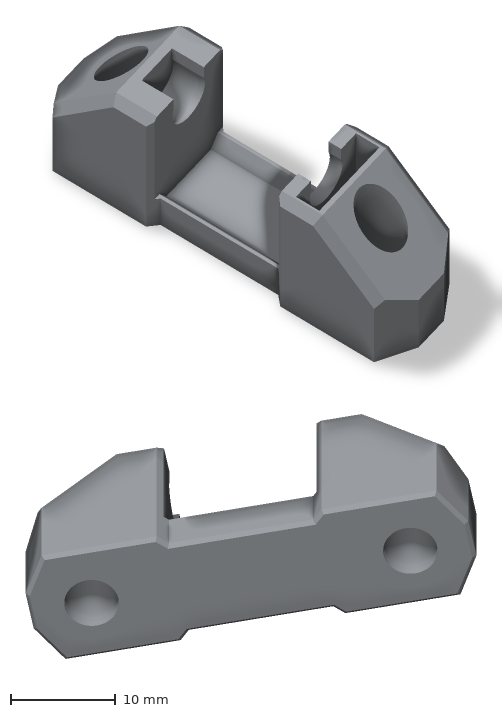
import cadquery as cq

length = 43.0
width = 12.0
height = 17.0
half_length = length / 2
half_width = width / 2

end_flat_width = 4.0
end_taper_length = 2.32
side_step = 1.0
bridge_half_width = half_width - side_step
shoulder_x = 8.0

tower_inner_x = 7.45
tower_outer_x = 12.3
tower_slope_drop = half_length - tower_outer_x
bridge_height = 4.5
top_chamfer = 1.0
bottom_chamfer = 0.4

channel_floor_z = 3.0
channel_floor_half_width = 3.53
channel_rim_half_width = 4.65

hole_diameter = 5.2
hole_x = 15.5

notch_width = 4.8
notch_diameter = 5.2
notch_center_z = 14.3
notch_outer_x = 11.22

pocket_inner_x = 8.95
pocket_outer_x = 11.75
pocket_width = 9.55
pocket_floor_z = 9.3


def make_base():
    """Prism over the plan outline, with a chamfered bottom rim."""
    quarter = [
        (half_length, end_flat_width / 2),
        (half_length - end_taper_length, half_width),
        (shoulder_x, half_width),
        (shoulder_x - side_step, bridge_half_width),
    ]
    upper = quarter + [(-x, y) for x, y in reversed(quarter)]
    lower = [(x, -y) for x, y in reversed(upper)]
    prism = cq.Workplane("XY").polyline(upper + lower).close().extrude(height)
    return prism.faces("<Z").edges().chamfer(bottom_chamfer)


def make_tower_envelope():
    """Sloped side profile of the +X tower, with its upper long edges chamfered."""
    profile = [
        (0, 0),
        (half_length, 0),
        (half_length, height - tower_slope_drop),
        (tower_outer_x, height),
        (tower_inner_x, height),
        (tower_inner_x, bridge_height),
        (0, bridge_height),
    ]
    body = cq.Workplane("XZ").polyline(profile).close().extrude(half_width, both=True)
    upper_faces = body.faces(">Z or >(1,0,1)")
    return upper_faces.edges("|(1,0,0) or |(1,0,-1)").chamfer(top_chamfer)


def make_channel():
    """Trapezoidal channel between the towers."""
    section = [
        (-channel_floor_half_width, channel_floor_z),
        (channel_floor_half_width, channel_floor_z),
        (channel_rim_half_width, bridge_height),
        (-channel_rim_half_width, bridge_height),
    ]
    return cq.Workplane("YZ").polyline(section).close().extrude(tower_inner_x, both=True)


def make_notch():
    """Round seat with an open neck, spanning both towers."""
    seat = (
        cq.Workplane("YZ")
        .center(0, notch_center_z)
        .circle(notch_diameter / 2)
        .extrude(notch_outer_x, both=True)
    )
    neck = cq.Workplane("XY").workplane(offset=notch_center_z).rect(2 * notch_outer_x, notch_width)
    return seat.union(neck.extrude(height - notch_center_z))


def make_pocket():
    """Pocket open at the top of the +X tower."""
    pocket_center_x = (pocket_inner_x + pocket_outer_x) / 2
    return (
        cq.Workplane("XY", origin=(pocket_center_x, 0, pocket_floor_z))
        .rect(pocket_outer_x - pocket_inner_x, pocket_width)
        .extrude(height - pocket_floor_z)
    )


def make_holes():
    """One vertical through hole in each tower."""
    centers = [(-hole_x, 0), (hole_x, 0)]
    return cq.Workplane("XY").pushPoints(centers).circle(hole_diameter / 2).extrude(height)


tower_envelope = make_tower_envelope()
envelope = tower_envelope.union(tower_envelope.mirror("YZ"))
result = make_base().intersect(envelope)
for cutter in (make_channel(), make_notch(), make_pocket(), make_holes()):
    result = result.cut(cutter)